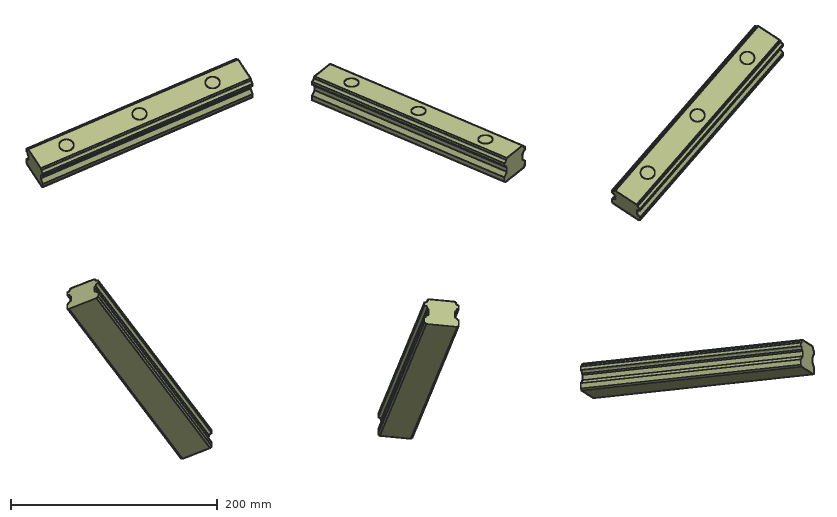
import cadquery as cq

width = 34.0
length = 230.0
height = 27.5

neck_half_width = 12.9
shoulder_half_width = 14.3
lip_top = 23.7
lip_bottom = 20.2
foot_top = 7.0
foot_chamfer_width = 1.8
foot_chamfer_height = 1.5

cap_diameter = 14.0
cap_pitch = 80.0
cap_count = 3
cap_recess = 0.2

half_width = width / 2
chamfer = shoulder_half_width - neck_half_width
neck_bottom = foot_top + half_width - neck_half_width

upper_groove_z = height - chamfer
upper_groove_radius = upper_groove_z - lip_top
lower_groove_radius = half_width - shoulder_half_width
lower_groove_z = lip_bottom - lower_groove_radius


def groove_midpoint(radius, groove_z, direction):
    """Middle of a quarter-round groove that bulges inward, above (1) or below (-1) its centre."""
    diagonal = radius * 0.5 ** 0.5
    return shoulder_half_width + radius - diagonal, groove_z + direction * diagonal


def make_rail():
    """Extrude the right half of the section and mirror it across the YZ plane."""
    half_section = (
        cq.Workplane("XZ", origin=(0, length / 2, 0))
        .moveTo(0, 0)
        .lineTo(half_width - foot_chamfer_width, 0)
        .lineTo(half_width, foot_chamfer_height)
        .lineTo(half_width, foot_top)
        .lineTo(neck_half_width, neck_bottom)
        .lineTo(neck_half_width, lower_groove_z - chamfer)
        .lineTo(shoulder_half_width, lower_groove_z)
        .threePointArc(
            groove_midpoint(lower_groove_radius, lower_groove_z, 1),
            (half_width, lip_bottom),
        )
        .lineTo(half_width, lip_top)
        .lineTo(shoulder_half_width + upper_groove_radius, lip_top)
        .threePointArc(
            groove_midpoint(upper_groove_radius, upper_groove_z, -1),
            (shoulder_half_width, upper_groove_z),
        )
        .lineTo(neck_half_width, height)
        .lineTo(0, height)
        .close()
    )
    half_rail = half_section.extrude(length)
    return half_rail.union(half_rail.mirror("YZ")).clean()


def make_cap_recesses():
    """Shallow round recesses along the centre line of the top face."""
    return (
        cq.Workplane("XY", origin=(0, 0, height - cap_recess))
        .rarray(2.3, cap_pitch, 1, cap_count)
        .circle(cap_diameter / 2)
        .extrude(cap_recess)
    )


result = make_rail().cut(make_cap_recesses())